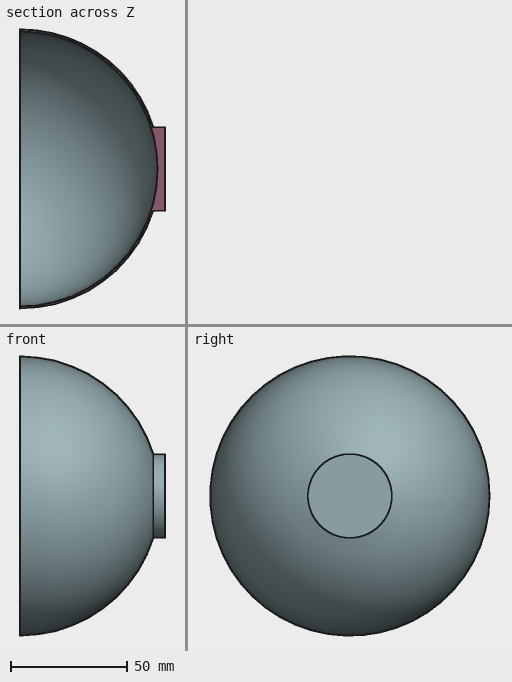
import cadquery as cq
import math

OUTER_RADIUS = 60.0
WALL_THICKNESS = 1.0
COLLAR_RADIUS = 18.0
COLLAR_LENGTH = 5.0

inner_radius = OUTER_RADIUS - WALL_THICKNESS
collar_root_x = math.sqrt(OUTER_RADIUS**2 - COLLAR_RADIUS**2)
collar_end_x = collar_root_x + COLLAR_LENGTH


def point_on_sphere(radius, angle):
    """Point in the XY plane at the given angle from the +X axis."""
    return (radius * math.cos(angle), radius * math.sin(angle))


def make_shade():
    """Hemispherical shell with a solid round collar, revolved about the X axis."""
    collar_angle = math.asin(COLLAR_RADIUS / OUTER_RADIUS)
    outer_mid_angle = (math.pi / 2 + collar_angle) / 2
    inner_mid_angle = math.pi / 4
    profile = (
        cq.Workplane("XY")
        .moveTo(0, inner_radius)
        .lineTo(0, OUTER_RADIUS)
        .threePointArc(
            point_on_sphere(OUTER_RADIUS, outer_mid_angle),
            (collar_root_x, COLLAR_RADIUS),
        )
        .lineTo(collar_end_x, COLLAR_RADIUS)
        .lineTo(collar_end_x, 0)
        .lineTo(inner_radius, 0)
        .threePointArc(
            point_on_sphere(inner_radius, inner_mid_angle),
            (0, inner_radius),
        )
        .close()
    )
    return profile.revolve(360, (0, 0, 0), (1, 0, 0))


result = make_shade()